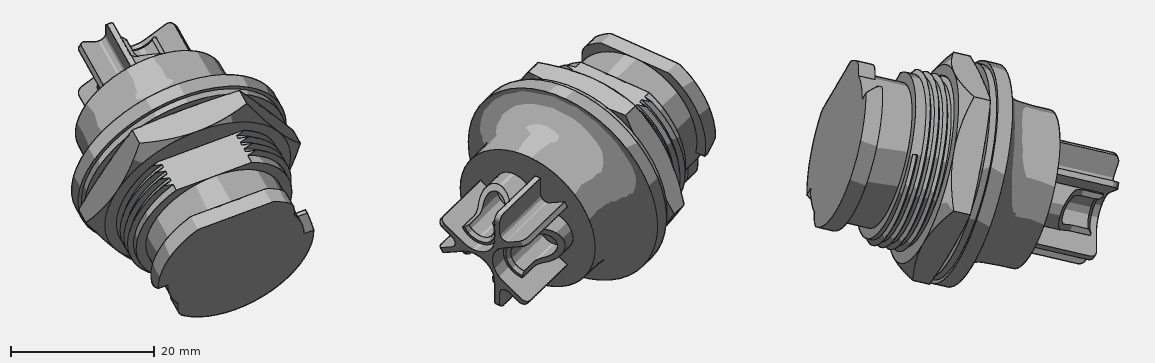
import cadquery as cq
import math


HOUSING_START = 10.1
FLARE_START = 14.5
FLANGE_START = 18.85
FLANGE_END = 21.05
HEX_START = 22.05
HEX_END = 26.25
THREAD_END = 31.8
COUPLING_START = 36.75
COUPLING_END = 39.2

BACK_RADIUS = 11.4
FLARE_ROOT_RADIUS = 11.52
FLANGE_RADIUS = 16.0
COLLAR_RADIUS = 15.45
NECK_RADIUS = 10.45
THREAD_ROOT_RADIUS = 11.95
COUPLING_RADIUS = 11.95
FLARE_RADIUS = FLANGE_START - FLARE_START

HEX_CORNER_RADIUS = 16.45
HEX_FLAT_RADIUS = HEX_CORNER_RADIUS * math.cos(math.radians(30))
HEX_START_CHAMFER = 0.27
HEX_END_CHAMFER = 1.5

THREAD_PITCH = 1.25
THREAD_CREST_RADIUS = 12.7
THREAD_BASE_WIDTH = 0.85
THREAD_START = 24.9
THREAD_TURNS = 4.9
THREAD_EMBED = 0.1
FLAT_HEIGHT = NECK_RADIUS

FLAT_CORNER_FILLET = 1.18
LUG_WALL = 8.95
LUG_WALL_FILLET = 2.75
LEAD_IN_TIP = 1.95
LEAD_IN_TIP_LENGTH = 0.63

CONTACT_COUNT = 3
CONTACT_CIRCLE_RADIUS = 4.45
CONTACT_RADIUS = 3.18
CUP_RADIUS = 2.27
CUP_CHAMFER = 0.5
CUP_END = 9.8
CUP_POINT_RADIUS = 1.55
POWER_CONTACT_START = 1.25
EARTH_CONTACT_START = 2.2
EARTH_CONTACT_ANGLE = 180
WINDOW_LENGTH = 3.85
WINDOW_SLOPE_LENGTH = 2.15
WINDOW_FILLET = 1.95

SCALLOP_RADIUS = 3.53
FIN_ANGLE = 30
FIN_THICKNESS = 0.85
FIN_REACH = 8.45
FIN_CORNER_FILLET = 1.0
FIN_ROOT_FILLET = 1.05

CONTACT_SPACING = 360 / CONTACT_COUNT


def turned_shape():
    """Back cylinder, flare, flange, sealing collar and neck as one revolve."""
    diagonal = FLARE_RADIUS * math.sqrt(0.5)
    flare_centre_radius = FLARE_ROOT_RADIUS + FLARE_RADIUS
    flare_middle = (FLARE_START + diagonal, flare_centre_radius - diagonal)
    return (
        cq.Workplane("XY")
        .moveTo(HOUSING_START, 0)
        .lineTo(HOUSING_START, BACK_RADIUS)
        .lineTo(FLARE_START, FLARE_ROOT_RADIUS)
        .threePointArc(flare_middle, (FLANGE_START, flare_centre_radius))
        .lineTo(FLANGE_START, FLANGE_RADIUS)
        .lineTo(FLANGE_END, FLANGE_RADIUS)
        .lineTo(FLANGE_END, COLLAR_RADIUS)
        .lineTo(HEX_START, COLLAR_RADIUS)
        .lineTo(HEX_START, NECK_RADIUS)
        .lineTo(COUPLING_END, NECK_RADIUS)
        .lineTo(COUPLING_END, 0)
        .close()
        .revolve(360, (0, 0, 0), (1, 0, 0))
    )


def hex_section():
    """Hexagon with corners toward +Y and -Y, its corners turned down at both ends."""
    prism = (
        cq.Workplane("YZ", origin=(HEX_START, 0, 0))
        .polygon(6, 2 * HEX_CORNER_RADIUS)
        .extrude(HEX_END - HEX_START)
    )
    turned_envelope = (
        cq.Workplane("XY")
        .polyline([
            (HEX_START, 0),
            (HEX_START, HEX_FLAT_RADIUS),
            (HEX_START + HEX_START_CHAMFER, HEX_CORNER_RADIUS),
            (HEX_END - HEX_END_CHAMFER, HEX_CORNER_RADIUS),
            (HEX_END, HEX_FLAT_RADIUS),
            (HEX_END, 0),
        ])
        .close()
        .revolve(360, (0, 0, 0), (1, 0, 0))
    )
    return prism.intersect(turned_envelope)


def cut_top_flat(body, start, end):
    """Remove everything above the flat between two positions along the axis."""
    width = 2 * FLANGE_RADIUS
    above_flat = cq.Workplane("XY").box(end - start, width, width, centered=(False, True, False))
    return body.cut(above_flat.translate((start, 0, FLAT_HEIGHT)))


def thread():
    """Right-hand external thread that starts inside the hex and ends short of the plain end."""
    length = THREAD_TURNS * THREAD_PITCH
    ridge_root = THREAD_ROOT_RADIUS - THREAD_EMBED
    helix = cq.Wire.makeHelix(THREAD_PITCH, length, THREAD_ROOT_RADIUS)
    ridge = (
        cq.Workplane("XZ")
        .polyline([
            (ridge_root, -THREAD_BASE_WIDTH / 2),
            (THREAD_CREST_RADIUS, 0),
            (ridge_root, THREAD_BASE_WIDTH / 2),
        ])
        .close()
        .sweep(cq.Workplane(helix), isFrenet=True)
        .rotate((0, 0, 0), (1, 1, 1), 120)
        .translate((THREAD_START, 0, 0))
    )
    core = (
        cq.Workplane("YZ", origin=(HEX_START, 0, 0))
        .circle(THREAD_ROOT_RADIUS)
        .extrude(THREAD_END - HEX_START)
    )
    return cut_top_flat(core.union(ridge), HEX_START, THREAD_END)


def lug_gap():
    """Space on the +Y side between the wall of the upper lug and the lead-in tip of the lower lug."""
    length = COUPLING_END - COUPLING_START
    gap_size = 2 * COUPLING_RADIUS
    gap = (
        cq.Workplane("XY")
        .box(length, gap_size, gap_size, centered=False)
        .translate((COUPLING_START, LUG_WALL, LEAD_IN_TIP))
    )
    lead_in = (
        cq.Workplane("XZ")
        .polyline([
            (COUPLING_START + LEAD_IN_TIP_LENGTH, LEAD_IN_TIP),
            (COUPLING_END, LEAD_IN_TIP),
            (COUPLING_END, LEAD_IN_TIP - length + LEAD_IN_TIP_LENGTH),
        ])
        .close()
        .extrude(-gap_size)
    )
    return gap.union(lead_in)


def coupling():
    """Bayonet ring with a flat top, split into two lugs by opposite gaps."""
    ring = (
        cq.Workplane("YZ", origin=(COUPLING_START, 0, 0))
        .circle(COUPLING_RADIUS)
        .extrude(COUPLING_END - COUPLING_START)
    )
    ring = cut_top_flat(ring, COUPLING_START, COUPLING_END)
    ring = ring.faces(">Z").edges("|X").fillet(FLAT_CORNER_FILLET)
    middle = (COUPLING_START + COUPLING_END) / 2
    wall_top = math.sqrt(COUPLING_RADIUS**2 - LUG_WALL**2)
    for side in (1, -1):
        gap = lug_gap() if side > 0 else lug_gap().rotate((0, 0, 0), (1, 0, 0), 180)
        wall_edge = cq.NearestToPointSelector((middle, side * LUG_WALL, side * wall_top))
        ring = ring.cut(gap).edges(wall_edge).fillet(LUG_WALL_FILLET)
    return ring


def polar(radius, angle):
    return (radius * math.cos(math.radians(angle)), radius * math.sin(math.radians(angle)))


def fins():
    """Three V-shaped fin pairs whose inner sides form a scallop around each contact."""
    contact_side = CONTACT_CIRCLE_RADIUS * math.sin(math.radians(FIN_ANGLE)) - SCALLOP_RADIUS
    valley_side = contact_side - FIN_THICKNESS
    tangent_reach = CONTACT_CIRCLE_RADIUS * math.cos(math.radians(FIN_ANGLE))
    valley_corner = -valley_side / math.sin(math.radians(FIN_ANGLE))
    corner_reach = valley_corner * math.cos(math.radians(FIN_ANGLE))
    fillet_reach = corner_reach + FIN_ROOT_FILLET / math.tan(math.radians(FIN_ANGLE))

    def fin_point(pair_angle, mirror, reach, offset):
        """Point at a reach along one fin and an offset across it."""
        distance = math.hypot(reach, offset)
        bearing = FIN_ANGLE + math.degrees(math.atan2(offset, reach))
        return polar(distance, pair_angle + mirror * bearing)

    outline = cq.Workplane("YZ").moveTo(*fin_point(0, -1, tangent_reach, contact_side))
    for index in range(CONTACT_COUNT):
        pair = index * CONTACT_SPACING
        next_pair = pair + CONTACT_SPACING
        outline = (
            outline.lineTo(*fin_point(pair, -1, FIN_REACH, contact_side))
            .lineTo(*fin_point(pair, -1, FIN_REACH, valley_side))
            .lineTo(*fin_point(pair, -1, fillet_reach, valley_side))
            .threePointArc(
                polar(valley_corner + FIN_ROOT_FILLET, pair),
                fin_point(pair, 1, fillet_reach, valley_side),
            )
            .lineTo(*fin_point(pair, 1, FIN_REACH, valley_side))
            .lineTo(*fin_point(pair, 1, FIN_REACH, contact_side))
            .lineTo(*fin_point(pair, 1, tangent_reach, contact_side))
            .threePointArc(
                polar(CONTACT_CIRCLE_RADIUS - SCALLOP_RADIUS, pair + CONTACT_SPACING / 2),
                fin_point(next_pair, -1, tangent_reach, contact_side),
            )
        )
    star = outline.close().extrude(HOUSING_START)
    tip_edges = [
        edge
        for edge in star.faces("<X").edges("%LINE").vals()
        if abs(edge.Length() - FIN_THICKNESS) < FIN_THICKNESS / 100
    ]
    return star.newObject(tip_edges).fillet(FIN_CORNER_FILLET)


def contact(angle, start, pointed):
    """Solder cup seated on the back face, opened by a window on the side away from the axis."""
    body = (
        cq.Workplane("YZ", origin=(start, 0, 0))
        .circle(CONTACT_RADIUS)
        .extrude(HOUSING_START - start)
    )
    cup = cq.Workplane("YZ", origin=(start, 0, 0)).circle(CUP_RADIUS).extrude(CUP_END - start)
    if pointed:
        cup = cup.faces(">X").chamfer(CUP_RADIUS - CUP_POINT_RADIUS)
    mouth = cq.NearestToPointSelector((start, 0, 0))
    body = body.cut(cup).faces("<X").edges(mouth).chamfer(CUP_CHAMFER)
    window = (
        cq.Workplane("XY", origin=(0, 0, -CONTACT_RADIUS))
        .polyline([
            (start, 0),
            (start + WINDOW_LENGTH, 0),
            (start + WINDOW_LENGTH + WINDOW_SLOPE_LENGTH, CONTACT_RADIUS),
            (start, CONTACT_RADIUS),
        ])
        .close()
        .extrude(2 * CONTACT_RADIUS)
    )
    window_corner = cq.NearestToPointSelector((start + WINDOW_LENGTH, 0, 0))
    window = window.edges(window_corner).fillet(WINDOW_FILLET)
    return (
        body.cut(window)
        .translate((0, CONTACT_CIRCLE_RADIUS, 0))
        .rotate((0, 0, 0), (1, 0, 0), angle)
    )


housing = turned_shape().union(hex_section()).union(thread()).union(coupling()).union(fins())

contacts = []
for index in range(CONTACT_COUNT):
    angle = CONTACT_SPACING / 2 + index * CONTACT_SPACING
    is_earth = angle == EARTH_CONTACT_ANGLE
    start = EARTH_CONTACT_START if is_earth else POWER_CONTACT_START
    contacts.append(contact(angle, start, pointed=not is_earth).val())

result = cq.Compound.makeCompound([housing.val(), *contacts])